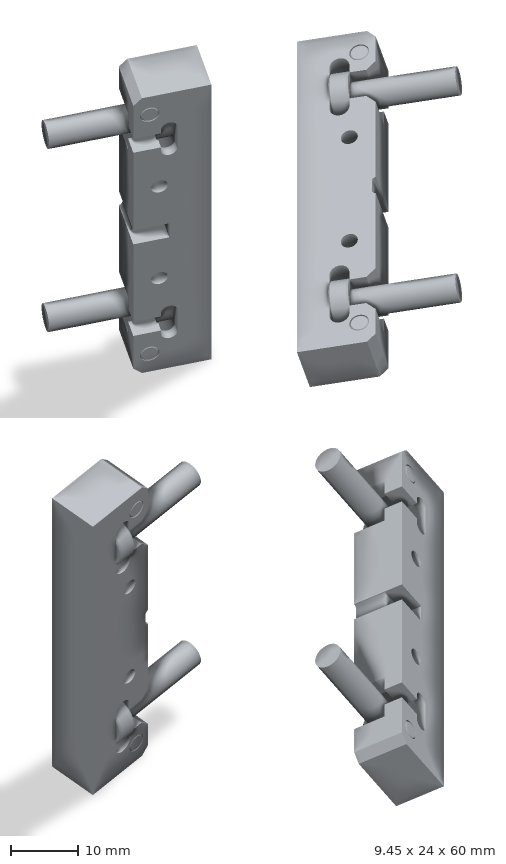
import cadquery as cq
import math


height = 60.0
depth = 12.0
block_thickness = 5.3
spacer_thickness = 1.45
cover_thickness = 1.55
stack_thickness = block_thickness + spacer_thickness + cover_thickness
corner_chamfer = 1.3

plunger_x = 2.7
plunger_z = height / 3
rod_diameter = 4.4
rod_reach = 12.0
head_radius = 3.85
head_thickness = 3.0
head_chamfer = 0.25
head_y = 5.5

head_slot_length = 11.0
relief_slot_length = 7.0
relief_slot_width = 2.5
neck_width = 5.05
flare_depth = 1.45

notch_width = 3.05
plate_notch_depth = head_y
block_notch_depth = 0.55

cross_hole_diameter = 2.6
cross_hole_y = 4.0
cross_hole_z = height / 6
dowel_diameter = 3.0
dowel_chamfer = 0.25
dowel_y = 2.5
dowel_end_distance = 3.9
dowel_z = height / 2 - dowel_end_distance


def side_profile(x):
    """Sketch plane facing +X at the given x, with local axes along Y and Z."""
    return cq.Workplane("YZ", origin=(x, 0, 0))


def mirrored(y, z):
    """The same place in the upper and the lower half."""
    return [(y, z), (y, -z)]


def chamfered_plate(x, thickness):
    """Plate with its two front corners chamfered and the cross holes and dowel holes drilled."""
    plate = (
        side_profile(x)
        .rect(depth, height)
        .extrude(thickness)
        .translate((0, depth / 2, 0))
        .edges("|X and <Y")
        .chamfer(corner_chamfer)
    )
    cross_holes = (
        side_profile(x)
        .pushPoints(mirrored(cross_hole_y, cross_hole_z))
        .circle(cross_hole_diameter / 2)
        .extrude(thickness)
    )
    dowel_holes = (
        side_profile(x)
        .pushPoints(mirrored(dowel_y, dowel_z))
        .circle(dowel_diameter / 2)
        .extrude(thickness)
    )
    return plate.cut(cross_holes).cut(dowel_holes)


def upright_slots(x, thickness, length, width):
    """Round-ended slots along Z, one centred behind each plunger rod at the depth of its head."""
    return (
        side_profile(x)
        .pushPoints(mirrored(head_y, plunger_z))
        .slot2D(length, width, 90)
        .extrude(thickness)
    )


def front_notches(x, thickness):
    """Square notches in the front edge: one per plunger and one at mid-height."""
    return (
        side_profile(x)
        .pushPoints([(plate_notch_depth / 2, z) for z in (-plunger_z, 0, plunger_z)])
        .rect(plate_notch_depth, notch_width)
        .extrude(thickness)
    )


def flared_necks():
    """Passages for the rods from the front face to the head slots, flared at 45 degrees in front."""
    half_neck = neck_width / 2
    half_mouth = half_neck + flare_depth
    neck = (
        side_profile(0)
        .polyline([
            (0, -half_mouth),
            (flare_depth, -half_neck),
            (head_y, -half_neck),
            (head_y, half_neck),
            (flare_depth, half_neck),
            (0, half_mouth),
        ])
        .close()
        .extrude(block_thickness)
    )
    return neck.translate((0, 0, plunger_z)).union(neck.translate((0, 0, -plunger_z)))


def shallow_block_notch():
    """Notch at mid-height whose ends are concave quarter rounds, as deep as their radius."""
    radius = block_notch_depth
    half_mouth = notch_width / 2
    half_floor = half_mouth - radius
    arc_reach = radius * math.sqrt(0.5)
    return (
        side_profile(0)
        .moveTo(0, -half_mouth)
        .threePointArc((arc_reach, -half_floor - arc_reach), (radius, -half_floor))
        .lineTo(radius, half_floor)
        .threePointArc((arc_reach, half_floor + arc_reach), (0, half_mouth))
        .close()
        .extrude(block_thickness)
    )


def make_block():
    """Thick plate with the plunger passages and the shallow front notch."""
    return (
        chamfered_plate(0, block_thickness)
        .cut(upright_slots(0, block_thickness, head_slot_length, head_thickness))
        .cut(flared_necks())
        .cut(shallow_block_notch())
    )


def make_spacer():
    """Middle plate, notched in front and slotted for the far side of the plunger heads."""
    return (
        chamfered_plate(block_thickness, spacer_thickness)
        .cut(front_notches(block_thickness, spacer_thickness))
        .cut(upright_slots(block_thickness, spacer_thickness, head_slot_length, head_thickness))
    )


def make_cover():
    """Outer plate, notched in front, with a short narrow slot beside each plunger head."""
    cover_x = block_thickness + spacer_thickness
    return (
        chamfered_plate(cover_x, cover_thickness)
        .cut(front_notches(cover_x, cover_thickness))
        .cut(upright_slots(cover_x, cover_thickness, relief_slot_length, relief_slot_width))
    )


def make_plunger(z):
    """Disc head with chamfered rims and a rod that stands out of the front face."""
    head_front_y = head_y - head_thickness / 2
    front_plane = cq.Workplane("XZ", origin=(plunger_x, head_front_y, z))
    head = front_plane.circle(head_radius).extrude(-head_thickness).edges().chamfer(head_chamfer)
    rod = front_plane.circle(rod_diameter / 2).extrude(head_front_y + rod_reach)
    return head.union(rod)


def make_dowel(z):
    """Dowel through all three plates, chamfered at both ends."""
    return (
        side_profile(0)
        .center(dowel_y, z)
        .circle(dowel_diameter / 2)
        .extrude(stack_thickness)
        .faces("<X or >X")
        .chamfer(dowel_chamfer)
    )


block = make_block()
spacer = make_spacer()
cover = make_cover()
plungers = [make_plunger(z) for z in (-plunger_z, plunger_z)]
dowels = [make_dowel(z) for z in (-dowel_z, dowel_z)]

result = cq.Compound.makeCompound([
    block.val(),
    spacer.val(),
    cover.val(),
    *[plunger.val() for plunger in plungers],
    *[dowel.val() for dowel in dowels],
])